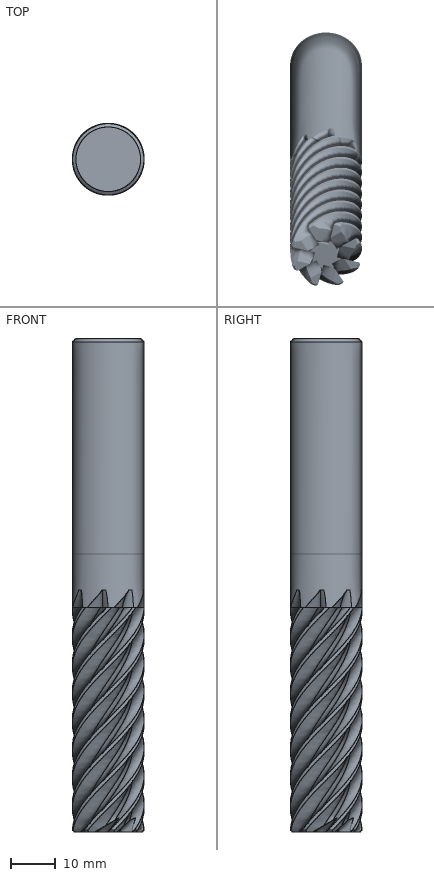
import cadquery as cq
import math

tool_length = 110.0
tool_diameter = 16.0
tool_radius = tool_diameter / 2
cutting_length = 50.0
clamping_length = 48.0
neck_top = tool_length - clamping_length
top_chamfer = 0.8
tip_chamfer = 0.5
blank_margin = 0.01

tooth_count = 8
tooth_pitch = 360.0 / tooth_count
helix_angle = 45.0
helix_lead = math.pi * tool_diameter / math.tan(math.radians(helix_angle))
cutter_twist = 360.0 * cutting_length / helix_lead

land_start = -3.0
land_width = 8.0
core_radius = 5.5
floor_lead = 2.5
floor_width = 13.0

runout_length = 4.0
runout_start = -42.0
runout_end = 4.0
runout_floor = -13.0
runout_floor_radius = 5.8
runout_tip_start = -10.0
runout_tip_end = 4.0
runout_tip_radius = 7.4
outside_margin = 1.2
outside_radius = tool_radius + outside_margin

gash_height = 3.2
gash_width = 3.0
gash_lean_angle = 38.0
gash_inner_radius = 2.5


def polar(radius, angle):
    """Point in the XY plane, with the angle measured counter-clockwise from -Y."""
    turn = math.radians(angle - 90.0)
    return radius * math.cos(turn), radius * math.sin(turn)


def tooth_profile(first_land):
    """Closed ring of teeth: land, back slope, gullet floor and rake face of each tooth."""
    profile = cq.Workplane("XY").moveTo(*polar(tool_radius, first_land))
    for tooth in range(tooth_count):
        edge = first_land + tooth * tooth_pitch
        next_edge = edge + tooth_pitch
        floor_end = next_edge - floor_lead
        floor_start = floor_end - floor_width
        profile = profile.threePointArc(
            polar(tool_radius, edge + land_width / 2),
            polar(tool_radius, edge + land_width),
        )
        profile = profile.lineTo(*polar(core_radius, floor_start))
        profile = profile.threePointArc(
            polar(core_radius, (floor_start + floor_end) / 2),
            polar(core_radius, floor_end),
        )
        if tooth < tooth_count - 1:
            profile = profile.lineTo(*polar(tool_radius, next_edge))
    return profile.close()


def runout_section(floor_radius, floor, start, end, height):
    """Triangle across one flute, open to the outside of the shank."""
    corners = [
        polar(floor_radius, floor),
        polar(outside_radius, end),
        polar(outside_radius, start),
    ]
    return cq.Wire.makePolygon([cq.Vector(x, y, height) for x, y in corners], close=True)


def make_runout():
    """Wedge that carries one flute out through the side of the shank."""
    base = runout_section(
        runout_floor_radius, runout_floor, runout_start, runout_end, cutting_length
    )
    tip = runout_section(
        runout_tip_radius,
        runout_tip_start,
        runout_tip_start,
        runout_tip_end,
        cutting_length + runout_length,
    )
    return cq.Workplane(cq.Solid.makeLoft([base, tip], True))


def make_shank():
    """Chamfered round shank with a flute run-out above each tooth space."""
    shank = (
        cq.Workplane("YZ")
        .moveTo(0, cutting_length)
        .lineTo(-tool_radius, cutting_length)
        .lineTo(-tool_radius, neck_top)
        .lineTo(-tool_radius, tool_length - top_chamfer)
        .lineTo(-tool_radius + top_chamfer, tool_length)
        .lineTo(0, tool_length)
        .close()
        .revolve(360, (0, 0, 0), (0, 1, 0), clean=False)
    )
    runout = make_runout()
    for flute in range(tooth_count):
        shank = shank.cut(runout.rotate((0, 0, 0), (0, 0, 1), flute * tooth_pitch), clean=False)
    return shank


def make_gash():
    """V-shaped radial notch across the tip, with one side leaning along the rake face."""
    lean = gash_height * math.tan(math.radians(gash_lean_angle))
    return (
        cq.Workplane("XZ", origin=(0, -gash_inner_radius, 0))
        .moveTo(-gash_width, 0)
        .lineTo(0, 0)
        .lineTo(lean, gash_height)
        .close()
        .extrude(tool_radius)
    )


def make_cutter():
    """Twisted teeth with a chamfered tip and one gash ahead of each tooth."""
    first_land = land_start - cutter_twist
    cutter = tooth_profile(first_land).twistExtrude(cutting_length, cutter_twist)
    blank = cq.Workplane("XY").circle(tool_radius + blank_margin).extrude(cutting_length)
    cutter = cutter.intersect(blank.faces("<Z").chamfer(tip_chamfer))
    gash = make_gash()
    for tooth in range(tooth_count):
        angle = first_land + tooth * tooth_pitch
        cutter = cutter.cut(gash.rotate((0, 0, 0), (0, 0, 1), angle))
    return cutter


shank = make_shank()
cutter = make_cutter()

result = cq.Compound.makeCompound([shank.val(), cutter.val()])